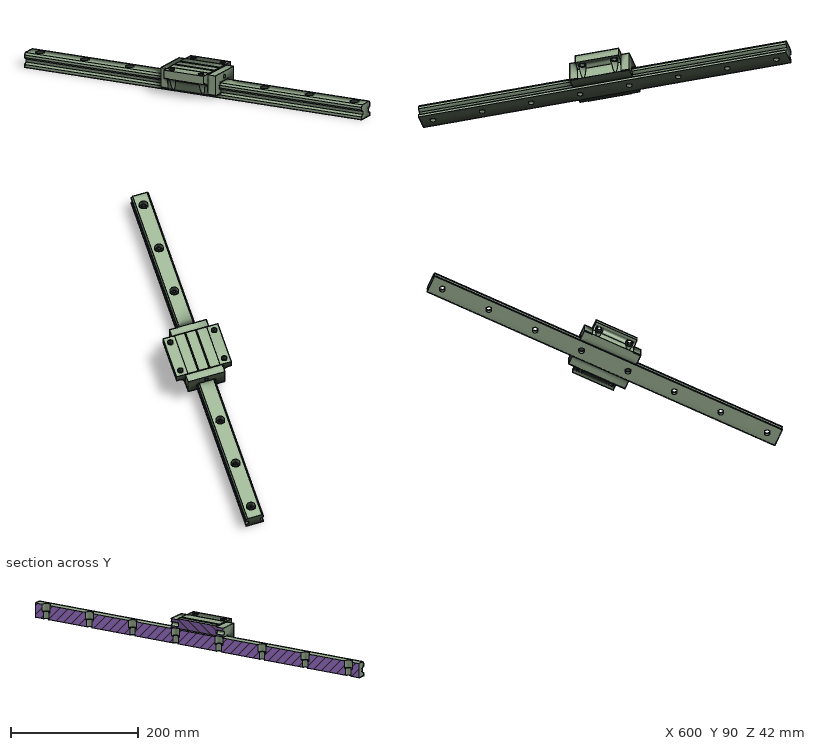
import cadquery as cq
import math


RAIL_LENGTH = 600.0
RAIL_HEIGHT = 24.0
RAIL_WIDTH = 28.0
RAIL_TOP_WIDTH = 23.5
RAIL_WAIST_WIDTH = 19.0
RAIL_FOOT_HEIGHT = 5.0
RAIL_WAIST_LOW = 8.0
RAIL_WAIST_HIGH = 12.5
RAIL_HEAD_LOW = 16.0
RAIL_HEAD_HIGH = 20.5

RAIL_HOLE_COUNT = 8
RAIL_HOLE_END_DISTANCE = 20.0
RAIL_HOLE_DIAMETER = 9.0
RAIL_COUNTERBORE_DIAMETER = 14.0
RAIL_COUNTERBORE_DEPTH = 12.0

TOP_HEIGHT = 42.0
PAD_HALF_WIDTH = 26.5
PAD_RISE = 0.3
BODY_LENGTH = 71.0
FLANGE_WIDTH = 90.0
FLANGE_BOTTOM = 28.0
BODY_BOTTOM = 7.0
FILLET_BOTTOM = 23.0
FILLET_OUTER_Y = 40.0
SIDE_TOP_Y = 33.0
SIDE_BOTTOM_Y = 30.0
FILLET_SAG = 0.9

SLOT_OFFSET = 9.0
SLOT_WIDTH = 2.0
SLOT_DEPTH = 1.0

CAP_THICKNESS = 13.0
CAP_WIDTH = 60.5
CAP_DROP = 2.0
CAP_BOTTOM = 7.0
CAP_CHAMFER = 1.0

PORT_DIAMETER = 6.0
PORT_HEIGHT = 32.0

MOUNT_PITCH_X = 52.0
MOUNT_PITCH_Y = 72.0
MOUNT_DIAMETER = 8.0
MOUNT_MOUTH_DIAMETER = 9.0
SPOTFACE_DIAMETER = 12.0

PASSAGE_SIDE_GAP = 2.0
PASSAGE_TOP_GAP = 1.0


def mirrored_outline(right_half):
    """Close a half outline of (y, z) points by mirroring it about y = 0."""
    left_half = [(-y, z) for y, z in reversed(right_half)]
    return cq.Workplane("YZ").polyline(right_half + left_half).close()


def rail_holes():
    """Centres of the bolt holes, evenly spaced along the rail."""
    first_x = RAIL_HOLE_END_DISTANCE - RAIL_LENGTH / 2
    pitch = -2 * first_x / (RAIL_HOLE_COUNT - 1)
    return [(first_x + i * pitch, 0) for i in range(RAIL_HOLE_COUNT)]


def make_rail():
    half_outline = [
        (RAIL_WIDTH / 2, 0),
        (RAIL_WIDTH / 2, RAIL_FOOT_HEIGHT),
        (RAIL_WAIST_WIDTH / 2, RAIL_WAIST_LOW),
        (RAIL_WAIST_WIDTH / 2, RAIL_WAIST_HIGH),
        (RAIL_WIDTH / 2, RAIL_HEAD_LOW),
        (RAIL_WIDTH / 2, RAIL_HEAD_HIGH),
        (RAIL_TOP_WIDTH / 2, RAIL_HEIGHT),
    ]
    bar = mirrored_outline(half_outline).extrude(RAIL_LENGTH / 2, both=True)
    return (
        bar.faces(">Z").workplane(origin=(0, 0, RAIL_HEIGHT))
        .pushPoints(rail_holes())
        .cboreHole(RAIL_HOLE_DIAMETER, RAIL_COUNTERBORE_DIAMETER, RAIL_COUNTERBORE_DEPTH)
    )


def carriage_body():
    """Flanged centre block with concave corners and inward leaning sides."""
    flange_y = FLANGE_WIDTH / 2
    flange_top = TOP_HEIGHT - PAD_RISE

    chord_y = FILLET_OUTER_Y - SIDE_TOP_Y
    chord_z = FLANGE_BOTTOM - FILLET_BOTTOM
    chord = math.hypot(chord_y, chord_z)
    arc_y = SIDE_TOP_Y + chord_y / 2 - FILLET_SAG * chord_z / chord
    arc_z = FILLET_BOTTOM + chord_z / 2 + FILLET_SAG * chord_y / chord

    half_block = (
        cq.Workplane("YZ")
        .moveTo(0, BODY_BOTTOM)
        .lineTo(SIDE_BOTTOM_Y, BODY_BOTTOM)
        .lineTo(SIDE_TOP_Y, FILLET_BOTTOM)
        .threePointArc((arc_y, arc_z), (FILLET_OUTER_Y, FLANGE_BOTTOM))
        .lineTo(flange_y, FLANGE_BOTTOM)
        .lineTo(flange_y, flange_top)
        .lineTo(PAD_HALF_WIDTH, flange_top)
        .lineTo(PAD_HALF_WIDTH, TOP_HEIGHT)
        .lineTo(0, TOP_HEIGHT)
        .close()
        .extrude(BODY_LENGTH / 2, both=True)
    )
    return half_block.union(half_block.mirror("XZ")).clean()


def grease_port():
    """Round hole straight through a cap that stands on Z = 0."""
    return (
        cq.Workplane("YZ", origin=(0, 0, PORT_HEIGHT - CAP_BOTTOM))
        .circle(PORT_DIAMETER / 2)
        .extrude(CAP_THICKNESS)
    )


def end_caps():
    """Two boxes, one against each end of the centre block, chamfered along the lower side edges."""
    cap_top = TOP_HEIGHT - CAP_DROP
    cap = cq.Workplane("XY").box(
        CAP_THICKNESS, CAP_WIDTH, cap_top - CAP_BOTTOM, centered=(False, True, False)
    )
    cap = cap.edges("<Z and |X").chamfer(CAP_CHAMFER)
    cap = cap.cut(grease_port())
    right_cap = cap.translate((BODY_LENGTH / 2, 0, CAP_BOTTOM))
    return right_cap.union(right_cap.mirror("YZ"))


def running_passage():
    """Space the rail runs through, open at the bottom."""
    waist_y = RAIL_WAIST_WIDTH / 2 + PASSAGE_SIDE_GAP
    head_y = RAIL_WIDTH / 2 + PASSAGE_SIDE_GAP
    half_outline = [
        (waist_y, 0),
        (waist_y, RAIL_WAIST_HIGH),
        (head_y, RAIL_HEAD_LOW),
        (head_y, RAIL_HEAD_HIGH),
        (RAIL_TOP_WIDTH / 2 + PASSAGE_TOP_GAP, RAIL_HEIGHT + PASSAGE_TOP_GAP),
    ]
    return mirrored_outline(half_outline).extrude(RAIL_LENGTH / 2, both=True)


def top_slots():
    """Two shallow slots along the mounting pad."""
    return (
        cq.Workplane("XY", origin=(0, 0, TOP_HEIGHT))
        .pushPoints([(0, -SLOT_OFFSET), (0, SLOT_OFFSET)])
        .rect(BODY_LENGTH, SLOT_WIDTH)
        .extrude(-SLOT_DEPTH)
    )


def mount_cylinders(diameter, height):
    """Four upright cylinders at the mounting hole places, from Z = 0 up."""
    return (
        cq.Workplane("XY")
        .rarray(MOUNT_PITCH_X, MOUNT_PITCH_Y, 2, 2)
        .circle(diameter / 2)
        .extrude(height)
    )


def mount_mouths():
    """Conical mouths of the mounting holes in the flange tops."""
    mouth_depth = (MOUNT_MOUTH_DIAMETER - MOUNT_DIAMETER) / 2
    mouth_bottom = TOP_HEIGHT - PAD_RISE - mouth_depth
    cone = cq.Solid.makeCone(MOUNT_DIAMETER / 2, MOUNT_MOUTH_DIAMETER / 2, mouth_depth)
    return (
        cq.Workplane("XY", origin=(0, 0, mouth_bottom))
        .rarray(MOUNT_PITCH_X, MOUNT_PITCH_Y, 2, 2)
        .eachpoint(lambda place: cone.located(place), combine=True)
    )


def make_carriage():
    return (
        carriage_body()
        .cut(mount_cylinders(SPOTFACE_DIAMETER, FLANGE_BOTTOM))
        .cut(mount_cylinders(MOUNT_DIAMETER, TOP_HEIGHT))
        .cut(mount_mouths())
        .cut(top_slots())
        .union(end_caps())
        .cut(running_passage())
    )


rail = make_rail()
carriage = make_carriage()

result = cq.Compound.makeCompound([rail.val(), carriage.val()])